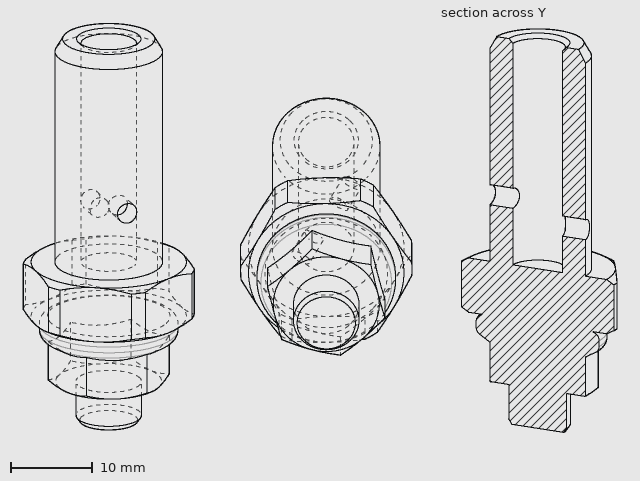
import cadquery as cq
import math

total_height = 49.5
collar_top = 20.55
collar_bottom = 13.5
nut_bottom = 5.05

tube_diameter = 13.15
tube_chamfer_width = 0.95
tube_chamfer_height = 1.65
bore_diameter = 6.8
bore_chamfer = 0.55
bore_floor = collar_top

port_diameter = 2.5
left_port_height = 26.5
right_port_height = 29.05

collar_across_flats = 19.0
collar_corner_diameter = 21.0

ring_diameter = 17.0
ring_edge_radius = 1.0
ring_band_height = 0.75

nut_across_flats = 12.95
nut_turn = 18.2

pin_diameter = 8.0
pin_chamfer_width = 0.45
pin_chamfer_height = 0.65

face_slope = math.radians(30)


def hexagon(across_flats, bottom, top):
    corner_diameter = across_flats / math.cos(math.radians(30))
    return cq.Workplane("XY").workplane(offset=bottom).polygon(6, corner_diameter).extrude(top - bottom)


def revolve_profile(profile):
    return profile.close().revolve(360, (0, 0, 0), (0, 1, 0))


def make_tube():
    radius = tube_diameter / 2
    return revolve_profile(
        cq.Workplane("XZ")
        .moveTo(0, collar_top)
        .lineTo(radius, collar_top)
        .lineTo(radius, total_height - tube_chamfer_height)
        .lineTo(radius - tube_chamfer_width, total_height)
        .lineTo(0, total_height)
    )


def make_bore():
    radius = bore_diameter / 2
    return revolve_profile(
        cq.Workplane("XZ")
        .moveTo(0, bore_floor)
        .lineTo(radius, bore_floor)
        .lineTo(radius, total_height - bore_chamfer)
        .lineTo(radius + bore_chamfer, total_height)
        .lineTo(0, total_height)
    )


def make_port(height, direction):
    port = cq.Workplane("YZ").center(0, height).circle(port_diameter / 2)
    return port.extrude(direction * tube_diameter)


def make_collar():
    face_radius = collar_across_flats / 2
    corner_radius = collar_corner_diameter / 2
    face_drop = (corner_radius - face_radius) * math.tan(face_slope)
    turned_blank = revolve_profile(
        cq.Workplane("XZ")
        .moveTo(0, collar_bottom)
        .lineTo(face_radius, collar_bottom)
        .lineTo(corner_radius, collar_bottom + face_drop)
        .lineTo(corner_radius, collar_top - face_drop)
        .lineTo(face_radius, collar_top)
        .lineTo(0, collar_top)
    )
    return turned_blank.intersect(hexagon(collar_across_flats, collar_bottom, collar_top))


def make_ring():
    radius = ring_diameter / 2
    arc_center_x = radius - ring_edge_radius
    band_top = collar_bottom - ring_edge_radius
    band_bottom = band_top - ring_band_height

    def edge_point(angle, center_z):
        x = arc_center_x + ring_edge_radius * math.cos(angle)
        return x, center_z + ring_edge_radius * math.sin(angle)

    arc_end_angle = face_slope - math.pi / 2
    cone_start = edge_point(arc_end_angle, band_bottom)
    cone_tip_z = cone_start[1] - cone_start[0] * math.tan(face_slope)
    return revolve_profile(
        cq.Workplane("XZ")
        .moveTo(0, collar_bottom)
        .lineTo(arc_center_x, collar_bottom)
        .threePointArc(edge_point(math.pi / 4, band_top), (radius, band_top))
        .lineTo(radius, band_bottom)
        .threePointArc(edge_point(arc_end_angle / 2, band_bottom), cone_start)
        .lineTo(0, cone_tip_z)
    )


def make_nut():
    face_radius = nut_across_flats / 2
    face_rise = face_radius * math.tan(face_slope)
    turned_blank = revolve_profile(
        cq.Workplane("XZ")
        .moveTo(0, nut_bottom)
        .lineTo(face_radius, nut_bottom)
        .lineTo(2 * face_radius, nut_bottom + face_rise)
        .lineTo(2 * face_radius, collar_bottom)
        .lineTo(0, collar_bottom)
    )
    nut = hexagon(nut_across_flats, nut_bottom, collar_bottom).rotate((0, 0, 0), (0, 0, 1), nut_turn)
    return nut.intersect(turned_blank)


def make_pin():
    radius = pin_diameter / 2
    return revolve_profile(
        cq.Workplane("XZ")
        .lineTo(radius - pin_chamfer_width, 0)
        .lineTo(radius, pin_chamfer_height)
        .lineTo(radius, nut_bottom)
        .lineTo(0, nut_bottom)
    )


result = (
    make_pin()
    .union(make_nut())
    .union(make_ring())
    .union(make_collar())
    .union(make_tube())
    .cut(make_bore())
    .cut(make_port(left_port_height, -1))
    .cut(make_port(right_port_height, 1))
)